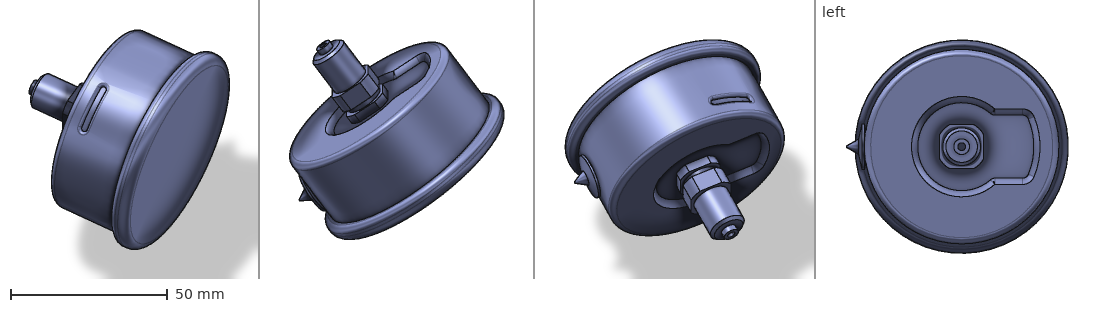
import cadquery as cq
import math


OVERALL_Y = 70.8

CASE_D = 62.0
CASE_R = CASE_D / 2
CASE_BACK_FILLET = 2.0
CASE_FRONT_X = 30.0

BEZEL_D = 68.0
BEZEL_BACK_X = 24.0
BEZEL_BACK_FILLET = 2.0
BEZEL_FRONT_FILLET = 3.0

POCKET_DEPTH = 2.0
POCKET_WALL_ANGLE = 45
POCKET_ROUND_R = 16.0
POCKET_END_R = 25.0
POCKET_HALF_WIDTH = 12
POCKET_CORNER_R = 3.95

SLOT_X = 7.0
SLOT_ANGLE = 30
SLOT_HALF_ARC_ANGLE = 13.2
SLOT_WIDTH = 2.0
SLOT_FLOOR_D = 60.0
SLOT_LIP_FILLET = 1.0

STEM_D = 12
STEM_CHAMFER = 1.0
STEM_END = 22.0
WRENCH_START = 3.0
WRENCH_END = 9.0
COLLAR_END = 1.0
SQUARE_ACROSS_FLATS = 14.0
SQUARE_CORNER_D = 16.0
NIPPLE_D = 5.0
NIPPLE_END = 24.0
BORE_D = 2.5

PLUG_X = 15.0
PLUG_NECK_D = 11.0
PLUG_SEAT_Y = 30.0
PLUG_FLANGE_D = 14.5
PLUG_FLANGE_RIM = 0.8
PLUG_CONE_HEIGHT = 1.05
SPIKE_HALF_ANGLE = math.radians(30)
SPIKE_TIP_R = 0.35
SPIKE_TIP_Y = OVERALL_Y - BEZEL_D / 2


def rod(diameter, start_x, end_x):
    """Round bar along the X axis."""
    return cq.Workplane("YZ", origin=(start_x, 0, 0)).circle(diameter / 2).extrude(end_x - start_x)


def square_with_round_corners(start_x, end_x):
    """Square bar along X whose corners are turned down to a cylinder."""
    length = end_x - start_x
    square = (
        cq.Workplane("YZ", origin=(start_x, 0, 0))
        .rect(SQUARE_ACROSS_FLATS, SQUARE_ACROSS_FLATS)
        .extrude(length)
    )
    return square.intersect(rod(SQUARE_CORNER_D, start_x, end_x))


def on_case_surface(edge):
    """True for an edge that starts on the outer cylinder of the case."""
    start = edge.startPoint()
    return math.isclose(math.hypot(start.y, start.z), CASE_R, abs_tol=0.01)


def slot_cutter():
    """Narrow wedge that widens from the X axis to +Z, with round radial ends."""
    reach = CASE_D
    half_angle = math.radians(SLOT_HALF_ARC_ANGLE)
    end_y = reach * math.sin(half_angle)
    end_z = reach * math.cos(half_angle)
    cutter = (
        cq.Workplane("YZ", origin=(SLOT_X - SLOT_WIDTH / 2, 0, 0))
        .polyline([(0, 0), (end_y, end_z), (-end_y, end_z)])
        .close()
        .extrude(SLOT_WIDTH)
    )
    radial_end = cq.Workplane("XY", origin=(SLOT_X, 0, 0)).circle(SLOT_WIDTH / 2).extrude(reach)
    for side in (-1, 1):
        cutter = cutter.union(radial_end.rotate((0, 0, 0), (1, 0, 0), side * SLOT_HALF_ARC_ANGLE))
    return cutter


def slotted_drum():
    """Cylinder of the case with a lipped slot in its side, its floor concentric with the case."""
    drum = rod(CASE_D, 0, CASE_FRONT_X).cut(slot_cutter())
    around_slot = cq.selectors.BoxSelector(
        (SLOT_X - SLOT_WIDTH, -CASE_R, 0),
        (SLOT_X + SLOT_WIDTH, CASE_R, CASE_D),
    )
    drum = drum.edges(around_slot).filter(on_case_surface).fillet(SLOT_LIP_FILLET)
    drum = drum.union(rod(SLOT_FLOOR_D, 0, CASE_FRONT_X))
    drum = drum.rotate((0, 0, 0), (1, 0, 0), SLOT_ANGLE)
    return drum.faces("<X").edges().fillet(CASE_BACK_FILLET)


def bezel():
    """Rounded ring around the front of the case."""
    ring = rod(BEZEL_D, BEZEL_BACK_X, CASE_FRONT_X)
    ring = ring.faces("<X").edges().fillet(BEZEL_BACK_FILLET)
    return ring.faces(">X").edges().fillet(BEZEL_FRONT_FILLET)


def back_pocket():
    """Round pocket running out to -Y in a parallel-sided arm with a curved end."""
    mouth_y = -math.sqrt(POCKET_ROUND_R**2 - POCKET_HALF_WIDTH**2)
    corner_z = POCKET_HALF_WIDTH - POCKET_CORNER_R
    corner_center_r = POCKET_END_R - POCKET_CORNER_R
    corner_angle = math.asin(corner_z / corner_center_r)
    corner_y = -corner_center_r * math.cos(corner_angle)
    end_y = -POCKET_END_R * math.cos(corner_angle)
    end_z = POCKET_END_R * math.sin(corner_angle)

    outline = (
        cq.Workplane("YZ")
        .moveTo(mouth_y, -POCKET_HALF_WIDTH)
        .threePointArc((POCKET_ROUND_R, 0), (mouth_y, POCKET_HALF_WIDTH))
        .lineTo(corner_y, POCKET_HALF_WIDTH)
        .tangentArcPoint((end_y, end_z), relative=False)
        .threePointArc((-POCKET_END_R, 0), (end_y, -end_z))
        .tangentArcPoint((corner_y, -POCKET_HALF_WIDTH), relative=False)
        .close()
    )
    return outline.extrude(POCKET_DEPTH, taper=POCKET_WALL_ANGLE)


def stem():
    """Connection rising from the pocket floor: collar, neck, wrench square, shank and nipple."""
    body = rod(STEM_D, -STEM_END, POCKET_DEPTH).faces("<X").edges().chamfer(STEM_CHAMFER)
    collar = square_with_round_corners(-COLLAR_END, POCKET_DEPTH)
    wrench_square = square_with_round_corners(-WRENCH_END, -WRENCH_START)
    nipple = rod(NIPPLE_D, -NIPPLE_END, -STEM_END)
    return body.union(collar).union(wrench_square).union(nipple)


def make_housing():
    """Case, bezel and stem in one piece, recessed to receive the vent plug."""
    bore = rod(BORE_D, -NIPPLE_END, 0)
    case = slotted_drum().union(bezel()).cut(back_pocket()).cut(make_vent_plug())
    return case.union(stem()).cut(bore)


def make_vent_plug():
    """Double-coned flange on a short neck, topped by a round-nosed spike."""
    flange_r = PLUG_FLANGE_D / 2
    neck_r = PLUG_NECK_D / 2
    flange_top_y = CASE_R + PLUG_FLANGE_RIM
    spike_base_y = flange_top_y + PLUG_CONE_HEIGHT

    tip_center_y = SPIKE_TIP_Y - SPIKE_TIP_R
    tangent_r = SPIKE_TIP_R * math.cos(SPIKE_HALF_ANGLE)
    tangent_y = tip_center_y + SPIKE_TIP_R * math.sin(SPIKE_HALF_ANGLE)
    spike_base_r = tangent_r + (tangent_y - spike_base_y) * math.tan(SPIKE_HALF_ANGLE)

    cone_slope = PLUG_CONE_HEIGHT / (flange_r - spike_base_r)
    neck_top_y = CASE_R - cone_slope * (flange_r - neck_r)

    plug = (
        cq.Workplane("XY")
        .moveTo(0, PLUG_SEAT_Y)
        .lineTo(neck_r, PLUG_SEAT_Y)
        .lineTo(neck_r, neck_top_y)
        .lineTo(flange_r, CASE_R)
        .lineTo(flange_r, flange_top_y)
        .lineTo(spike_base_r, spike_base_y)
        .lineTo(tangent_r, tangent_y)
        .tangentArcPoint((0, SPIKE_TIP_Y), relative=False)
        .close()
        .revolve(360, (0, 0), (0, 1))
    )
    return plug.translate((PLUG_X, 0, 0))


housing = make_housing()
vent_plug = make_vent_plug()
result = cq.Compound.makeCompound([housing.val(), vent_plug.val()])